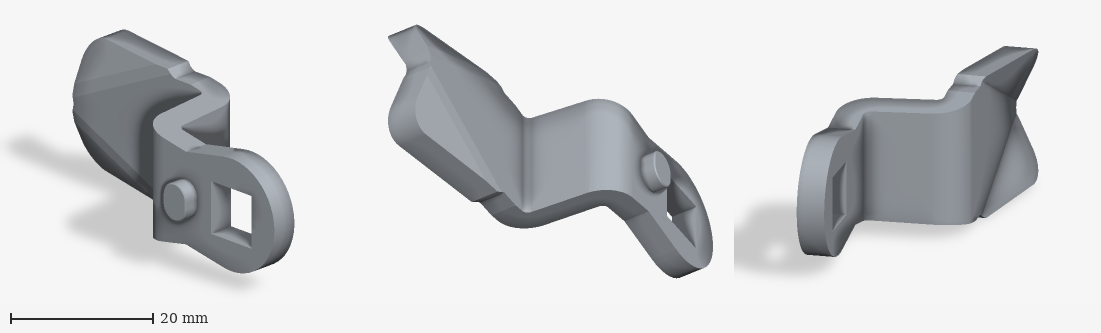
import cadquery as cq
import math

length = 53.95
max_width = 20.95
thickness = 4.0

offset = 13.95
web_lean = 5.0
web_corner_x = 26.15
inner_bend_radius = 1.0
outer_bend_radius = inner_bend_radius + thickness

head_radius = 8.5
head_x = length - head_radius
waist_x = 36.4
waist_half = 7.0
shoulder_x = 23.4
shoulder_half = 9.5
step_x = 20.35
wing_root_x = 18.7
wing_tip_half = 9.85
wing_corner_radius = 4.0
notch_half = 1.55
notch_depth = 0.3

fold_angle = 25.0
fold_start = 0.85
wing_angle = 27.0
wing_reach = 21.6
fold_run = 32.35

square_side = 8.0
pin_width = 4.5
pin_length = 5.65
pin_height = 2.3
pin_chamfer = 0.15


def bent_strip():
    """Z-shaped strip, wider than the finished outline."""
    lean = math.tan(math.radians(web_lean))
    web_run = thickness / math.cos(math.radians(web_lean))

    def web_front(y):
        return web_corner_x + (offset - y) * lean

    upper_back = offset + thickness
    front_top = (web_front(offset), offset)
    front_bottom = (web_front(0), 0)
    back_bottom = (web_front(thickness) + web_run, thickness)
    back_top = (web_front(upper_back) + web_run, upper_back)
    strip = (
        cq.Workplane("XY")
        .polyline([
            (0, offset), front_top, front_bottom, (length, 0),
            (length, thickness), back_bottom, back_top, (0, upper_back),
        ])
        .close()
        .extrude(max_width / 2, both=True)
    )

    def bend_edge(point):
        return cq.selectors.NearestToPointSelector((point[0], point[1], 0))

    for point in (front_top, back_bottom):
        strip = strip.edges(bend_edge(point)).fillet(inner_bend_radius)
    for point in (front_bottom, back_top):
        strip = strip.edges(bend_edge(point)).fillet(outer_bend_radius)
    return strip


def fold_plane():
    """Plane square to the upper fold line: local x away from the axis, local y along +Y."""
    angle = math.radians(fold_angle)
    return cq.Plane(
        origin=(0, offset + thickness, fold_start),
        xDir=(-math.sin(angle), 0, math.cos(angle)),
        normal=(-math.cos(angle), 0, -math.sin(angle)),
    )


def flat_beyond_fold():
    """Part of the flat upper plate that the wing replaces."""
    return (
        cq.Workplane(fold_plane())
        .rect(wing_reach, -thickness, centered=False)
        .extrude(fold_run, both=True)
    )


def wing():
    """Folded plate: sharp on the back, bevelled on the front."""
    angle = math.radians(wing_angle)
    along = (wing_reach * math.cos(angle), wing_reach * math.sin(angle))
    bevel_end = (thickness * math.sin(angle), -thickness * math.cos(angle))
    return (
        cq.Workplane(fold_plane())
        .moveTo(0, 0)
        .lineTo(0, -thickness)
        .lineTo(*bevel_end)
        .lineTo(bevel_end[0] + along[0], bevel_end[1] + along[1])
        .lineTo(*along)
        .close()
        .extrude(fold_run, both=True)
    )


def outline_prism():
    """Full outline as a prism along Y, symmetric about the X axis."""
    to_waist = math.hypot(head_x - waist_x, waist_half)
    tangent_angle = math.atan2(waist_half, waist_x - head_x) - math.acos(head_radius / to_waist)

    def on_head(angle):
        return (head_x + head_radius * math.cos(angle), head_radius * math.sin(angle))

    upper_edge = [
        (0, notch_half),
        (0, wing_tip_half),
        (wing_root_x, max_width / 2),
        (step_x, shoulder_half),
        (shoulder_x, shoulder_half),
        (waist_x, waist_half),
        on_head(tangent_angle),
    ]
    lower_edge = [(x, -z) for x, z in reversed(upper_edge)]
    prism = (
        cq.Workplane("XZ")
        .polyline([(notch_depth, 0)] + upper_edge)
        .threePointArc((length, 0), lower_edge[0])
        .polyline(lower_edge[1:], includeCurrent=True)
        .close()
        .extrude(length, both=True)
    )
    for z in (wing_tip_half, -wing_tip_half):
        corner = cq.selectors.NearestToPointSelector((0, 0, z))
        prism = prism.edges(corner).fillet(wing_corner_radius)
    return prism


def pin():
    return (
        cq.Workplane("XZ")
        .center(waist_x, 0)
        .slot2D(pin_length, pin_width, 90)
        .extrude(pin_height)
        .faces("<Y")
        .chamfer(pin_chamfer)
    )


outline = outline_prism()
upper_wing = wing().intersect(outline)
upper_cut = flat_beyond_fold()
handle = (
    bent_strip()
    .intersect(outline)
    .cut(upper_cut)
    .cut(upper_cut.mirror("XY"))
    .union(upper_wing)
    .union(upper_wing.mirror("XY"))
)

square_hole = (
    cq.Workplane("XZ")
    .center(head_x, 0)
    .rect(square_side, square_side)
    .extrude(-thickness)
)

result = handle.cut(square_hole).union(pin())